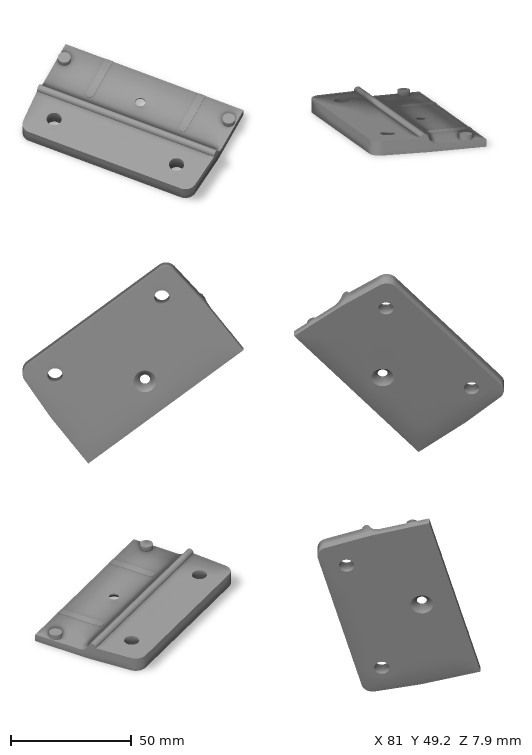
import cadquery as cq
import math

length = 81.0
depth = 49.2
height = 7.9
back_thickness = 3.2
front_thickness = 6.15

bead_radius = 1.6
bead_y = 22.0
bead_z = height - bead_radius
bead_back_y = bead_y + bead_radius
bead_front_y = bead_y - bead_radius
blend_radius = 4.85

taper_angle = 4.0
corner_radius = 4.7

mount_hole_diameter = 6.3
mount_hole_spacing = 55.7
mount_hole_y = 10.45
center_hole_diameter = 4.2
center_hole_y = 35.1
center_hole_land = 0.65
countersink_depth = back_thickness - center_hole_land
countersink_diameter = center_hole_diameter + 2 * countersink_depth

pin_diameter = 5.35
pin_spacing = 74.8
pin_y = 41.3
pin_height = 2.3

rib_width = 3.2
rib_height = 0.25
rib_end_y = 28.5
rib_positions = (-20.6, 21.6)


def make_profile_body():
    """Extrude the stepped YZ section, with its bead and blend, along X."""
    blend_z = back_thickness + blend_radius
    center_distance = blend_radius + bead_radius
    blend_y = bead_y + math.sqrt(center_distance**2 - (blend_z - bead_z) ** 2)
    touch_share = bead_radius / center_distance
    touch_y = bead_y + (blend_y - bead_y) * touch_share
    touch_z = bead_z + (blend_z - bead_z) * touch_share
    return (
        cq.Workplane("YZ", origin=(-length / 2, 0, 0))
        .lineTo(depth, 0)
        .lineTo(depth, back_thickness)
        .lineTo(blend_y, back_thickness)
        .radiusArc((touch_y, touch_z), blend_radius)
        .threePointArc((bead_y, height), (bead_front_y, bead_z))
        .lineTo(bead_front_y, front_thickness)
        .lineTo(0, front_thickness)
        .close()
        .extrude(length)
    )


def make_outline():
    """Plan outline: straight at the back, tapered and rounded at the front."""
    back_half = length / 2
    front_half = back_half - bead_back_y * math.tan(math.radians(taper_angle))
    return (
        cq.Workplane("XY")
        .polyline(
            [
                (-front_half, 0),
                (front_half, 0),
                (back_half, bead_back_y),
                (back_half, depth),
                (-back_half, depth),
                (-back_half, bead_back_y),
            ]
        )
        .close()
        .extrude(height)
        .edges("|Z and <Y")
        .fillet(corner_radius)
    )


def make_pins():
    return (
        cq.Workplane("XY", origin=(0, pin_y, back_thickness))
        .pushPoints([(-pin_spacing / 2, 0), (pin_spacing / 2, 0)])
        .circle(pin_diameter / 2)
        .extrude(pin_height)
    )


def make_rib(x):
    """Flat rib with a rounded inner end, open at the back edge."""
    half_width = rib_width / 2
    straight_end_y = rib_end_y + half_width
    return (
        cq.Workplane("XY", origin=(x, 0, back_thickness))
        .moveTo(-half_width, depth)
        .lineTo(-half_width, straight_end_y)
        .threePointArc((0, rib_end_y), (half_width, straight_end_y))
        .lineTo(half_width, depth)
        .close()
        .extrude(rib_height)
    )


def make_holes():
    mount_holes = (
        cq.Workplane("XY", origin=(0, mount_hole_y, 0))
        .pushPoints([(-mount_hole_spacing / 2, 0), (mount_hole_spacing / 2, 0)])
        .circle(mount_hole_diameter / 2)
        .extrude(height)
    )
    center_hole = (
        cq.Workplane("XY", origin=(0, center_hole_y, 0))
        .circle(center_hole_diameter / 2)
        .extrude(height)
    )
    countersink = cq.Workplane(
        cq.Solid.makeCone(
            countersink_diameter / 2,
            center_hole_diameter / 2,
            countersink_depth,
            pnt=cq.Vector(0, center_hole_y, 0),
        )
    )
    return mount_holes.union(center_hole).union(countersink)


result = make_profile_body().intersect(make_outline()).union(make_pins())
for rib_x in rib_positions:
    result = result.union(make_rib(rib_x))
result = result.cut(make_holes())